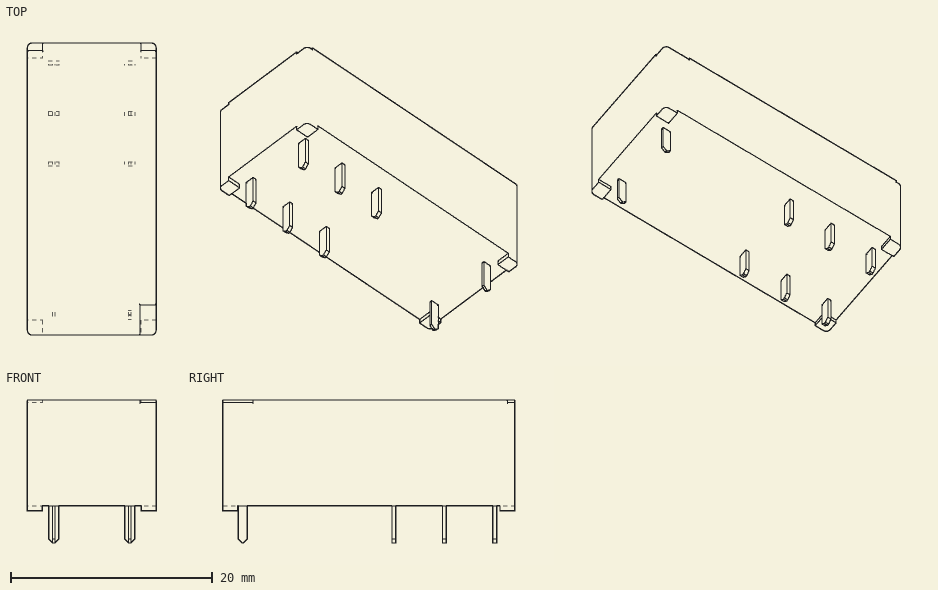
import cadquery as cq

BODY_X = 12.8
BODY_Y = 29.0
BODY_Z = 11.0
CORNER_RADIUS = 0.5
RIM_RADIUS = 0.1

FOOT_SIDE = 1.5
STANDOFF = 0.5

STEP_DEPTH = 0.25
REAR_STEP_X = 1.5
REAR_STEP_Y = 0.75
FRONT_STEP_X = 1.6
FRONT_STEP_Y = 3.0

PIN_LENGTH = 3.2
PIN_WIDTH = 1.0
PIN_THICKNESS = 0.4
COIL_PIN_WIDTH = 0.9
COIL_PIN_THICKNESS = 0.25
TIP_HEIGHT = 0.4
PIN_X = 3.77
COIL_PIN_Y = -12.5
CONTACT_PIN_Y = 12.5
CONTACT_PITCH = 5.0
CONTACTS_PER_ROW = 3


def top_corner_step(size_x, size_y, side_x, side_y):
    """Block that sinks one top corner; side_x and side_y (+1 or -1) choose the corner."""
    return (
        cq.Workplane("XY", origin=(side_x * BODY_X / 2, side_y * BODY_Y / 2, BODY_Z))
        .box(2 * size_x, 2 * size_y, 2 * STEP_DEPTH)
    )


def is_step_rim(edge):
    """True for an edge of a step floor that lies on the outside of the housing."""
    middle = edge.positionAt(0.5)
    on_floor = abs(middle.z - (BODY_Z - STEP_DEPTH)) < STEP_DEPTH / 2
    inset_x = BODY_X / 2 - abs(middle.x)
    inset_y = BODY_Y / 2 - abs(middle.y)
    return on_floor and min(inset_x, inset_y) < CORNER_RADIUS / 2


def make_housing():
    """Rounded box with stepped top corners, rounded rim and four corner feet."""
    housing = (
        cq.Workplane("XY")
        .box(BODY_X, BODY_Y, BODY_Z, centered=(True, True, False))
        .edges("|Z")
        .fillet(CORNER_RADIUS)
    )
    for side_x in (-1, 1):
        housing = housing.cut(top_corner_step(REAR_STEP_X, REAR_STEP_Y, side_x, 1))
    housing = housing.cut(top_corner_step(FRONT_STEP_X, FRONT_STEP_Y, 1, -1))
    rim_edges = housing.faces(">Z").edges().add(housing.edges().filter(is_step_rim))
    housing = rim_edges.fillet(RIM_RADIUS)

    relief_along_x = cq.Workplane("XY").box(BODY_X, BODY_Y - 2 * FOOT_SIDE, 2 * STANDOFF)
    relief_along_y = cq.Workplane("XY").box(BODY_X - 2 * FOOT_SIDE, BODY_Y, 2 * STANDOFF)
    return housing.cut(relief_along_x).cut(relief_along_y)


def make_pin(width, thickness):
    """Blade hanging from the housing floor, wide along X, with a 45 degree pointed tip."""
    shoulder_z = TIP_HEIGHT - PIN_LENGTH
    tip_width = width - 2 * TIP_HEIGHT
    return (
        cq.Workplane("XZ")
        .moveTo(-width / 2, STANDOFF)
        .lineTo(-width / 2, shoulder_z)
        .lineTo(-tip_width / 2, -PIN_LENGTH)
        .lineTo(tip_width / 2, -PIN_LENGTH)
        .lineTo(width / 2, shoulder_z)
        .lineTo(width / 2, STANDOFF)
        .close()
        .extrude(thickness / 2, both=True)
    )


contact_pin = make_pin(PIN_WIDTH, PIN_THICKNESS)
coil_pin = make_pin(COIL_PIN_WIDTH, COIL_PIN_THICKNESS).rotate((0, 0, 0), (0, 0, 1), 90)

result = make_housing()
for pin_x in (-PIN_X, PIN_X):
    result = result.union(coil_pin.translate((pin_x, COIL_PIN_Y, 0)))
    for row in range(CONTACTS_PER_ROW):
        contact_y = CONTACT_PIN_Y - row * CONTACT_PITCH
        result = result.union(contact_pin.translate((pin_x, contact_y, 0)))